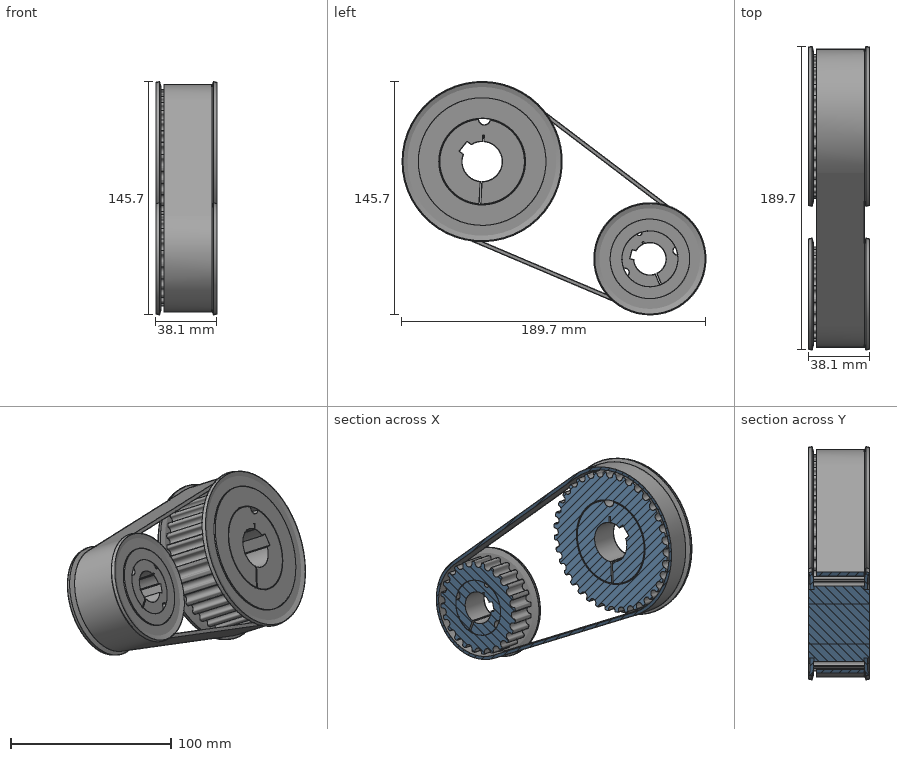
import cadquery as cq
import math


small_centre_y = -104.7
small_centre_z = -60.7
pulley_width = 38.1

rim_radius_large = 50.0
rim_radius_small = 35.0
flange_thickness = 2.3
dish_depth = 1.0
dish_width = 3.6
rim_slant = 0.5
flange_inner_face = dish_depth + flange_thickness

tooth_pitch = 8.0
teeth_large = 36
teeth_small = 24
tip_clearance = 0.68
groove_radius = 2.3
tip_fillet = 1.0
tooth_turn_large = 1.1
tooth_turn_small = 0.0
hub_radius_large = 39.8
hub_radius_small = 24.9

belt_width = 30.0
belt_thickness = 2.3
belt_below_rim = 1.7
belt_end_x = pulley_width - flange_inner_face

bore_fit_large = 27.0
bush_radius_large = 26.5
bush_radius_small = 17.5
bore_radius_large = 12.5
bore_radius_small = 10.0
slit_width = 1.0
notch_width = 0.8
key_angle = -54.0
bush_turn_large = 3.0
bush_turn_small = -22.5


def disc(radius, x_start, x_end):
    """Solid cylinder along X."""
    return cq.Workplane("YZ").workplane(offset=x_start).circle(radius).extrude(x_end - x_start)


def make_groove(tip_radius):
    """Cutter for one tooth groove at +Z: a round bottom that meets the tip fillets."""
    half_mouth = groove_radius + tip_fillet
    mouth_z = math.sqrt(tip_radius**2 - half_mouth**2)
    fillet_end_z = mouth_z - tip_fillet
    fillet_mid_y = half_mouth - tip_fillet * math.sqrt(0.5)
    fillet_mid_z = fillet_end_z + tip_fillet * math.sqrt(0.5)
    return (
        cq.Workplane("YZ")
        .workplane(offset=flange_inner_face)
        .moveTo(-half_mouth, tip_radius)
        .lineTo(-half_mouth, mouth_z)
        .threePointArc((-fillet_mid_y, fillet_mid_z), (-groove_radius, fillet_end_z))
        .threePointArc((0, fillet_end_z - groove_radius), (groove_radius, fillet_end_z))
        .threePointArc((fillet_mid_y, fillet_mid_z), (half_mouth, mouth_z))
        .lineTo(half_mouth, tip_radius)
        .close()
        .extrude(pulley_width - 2 * flange_inner_face)
    )


def make_pulley(teeth, tooth_turn, hub_radius, bore_radius):
    """Toothed rim between the flanges on a hub as wide as the whole pulley."""
    tip_radius = teeth * tooth_pitch / (2 * math.pi) - tip_clearance
    groove = make_groove(tip_radius)
    grooves = [
        groove.rotate((0, 0, 0), (1, 0, 0), tooth_turn + 360 * index / teeth).val()
        for index in range(teeth)
    ]
    rim = disc(tip_radius, flange_inner_face, pulley_width - flange_inner_face)
    rim = rim.cut(cq.Workplane(cq.Compound.makeCompound(grooves)))
    hub = disc(hub_radius, 0, pulley_width)
    return rim.union(hub).cut(disc(bore_radius, 0, pulley_width))


def make_flange(rim_radius, hub_radius):
    """Ring at the X = 0 end of a pulley, dished toward -X."""
    bend_radius = rim_radius - dish_width
    crest_x = flange_inner_face - dish_depth
    profile = [
        (dish_depth, hub_radius),
        (dish_depth, bend_radius),
        (0, rim_radius - rim_slant),
        (crest_x, rim_radius),
        (flange_inner_face, bend_radius),
        (flange_inner_face, hub_radius),
    ]
    return cq.Workplane("XY").polyline(profile).close().revolve(360, (0, 0, 0), (1, 0, 0))


def far_flange(flange):
    """The matching flange at the +X end of the pulley."""
    return flange.mirror("YZ").translate((pulley_width, 0, 0))


def radial_slot(width, length):
    """Box from the axis out along +Z, through the whole bush."""
    return cq.Workplane("XY").box(pulley_width, width, length, centered=(False, True, False))


def make_bush(bush_radius, bore_radius, key_width, key_reach, notch_reach, screw_holes, turn):
    """Split bush with keyway, notch and half-round screw holes (angle, radius, centre radius)."""
    bush = disc(bush_radius, 0, pulley_width).cut(disc(bore_radius, 0, pulley_width))
    bush = bush.cut(radial_slot(notch_width, notch_reach))
    bush = bush.cut(radial_slot(slit_width, 2 * bush_radius).rotate((0, 0, 0), (1, 0, 0), 180))
    bush = bush.cut(radial_slot(key_width, key_reach).rotate((0, 0, 0), (1, 0, 0), key_angle))
    for angle, hole_radius, centre_radius in screw_holes:
        hole = disc(hole_radius, 0, pulley_width).translate((0, 0, centre_radius))
        bush = bush.cut(hole.rotate((0, 0, 0), (1, 0, 0), angle))
    return bush.rotate((0, 0, 0), (1, 0, 0), turn)


def belt_loop(radius_large, radius_small):
    """Solid filling the loop of two arcs and their outer tangents."""
    distance = math.hypot(small_centre_y, small_centre_z)
    heading = math.atan2(small_centre_z, small_centre_y)
    spread = math.acos((radius_large - radius_small) / distance)

    def on_large(angle):
        return (radius_large * math.cos(angle), radius_large * math.sin(angle))

    def on_small(angle):
        return (
            small_centre_y + radius_small * math.cos(angle),
            small_centre_z + radius_small * math.sin(angle),
        )

    return (
        cq.Workplane("YZ")
        .workplane(offset=belt_end_x - belt_width)
        .moveTo(*on_large(heading + spread))
        .threePointArc(on_large(heading + math.pi), on_large(heading - spread))
        .lineTo(*on_small(heading - spread))
        .threePointArc(on_small(heading), on_small(heading + spread))
        .close()
        .extrude(belt_width)
    )


def make_belt():
    back_large = rim_radius_large - belt_below_rim
    back_small = rim_radius_small - belt_below_rim
    inside = belt_loop(back_large - belt_thickness, back_small - belt_thickness)
    return belt_loop(back_large, back_small).cut(inside)


small_centre = (0, small_centre_y, small_centre_z)

large_pulley = make_pulley(teeth_large, tooth_turn_large, hub_radius_large, bore_fit_large)
large_flange = make_flange(rim_radius_large, hub_radius_large)
large_bush = make_bush(
    bush_radius_large,
    bore_radius_large,
    key_width=7.8,
    key_reach=15.2,
    notch_reach=16.3,
    screw_holes=[(0, 3.6, bush_radius_large)],
    turn=bush_turn_large,
)

small_pulley = make_pulley(
    teeth_small, tooth_turn_small, hub_radius_small, bush_radius_small
).translate(small_centre)
small_flange = make_flange(rim_radius_small, hub_radius_small)
small_bush = make_bush(
    bush_radius_small,
    bore_radius_small,
    key_width=5.7,
    key_reach=12.1,
    notch_reach=11.4,
    screw_holes=[(0, 1.7, 17.6), (96, 2.7, 17.8), (-96, 2.7, 17.8)],
    turn=bush_turn_small,
).translate(small_centre)

belt = make_belt()

flanges = [
    large_flange,
    far_flange(large_flange),
    small_flange.translate(small_centre),
    far_flange(small_flange).translate(small_centre),
]

result = cq.Compound.makeCompound(
    [
        large_pulley.val(),
        small_pulley.val(),
        *[flange.val() for flange in flanges],
        large_bush.val(),
        small_bush.val(),
        belt.val(),
    ]
)